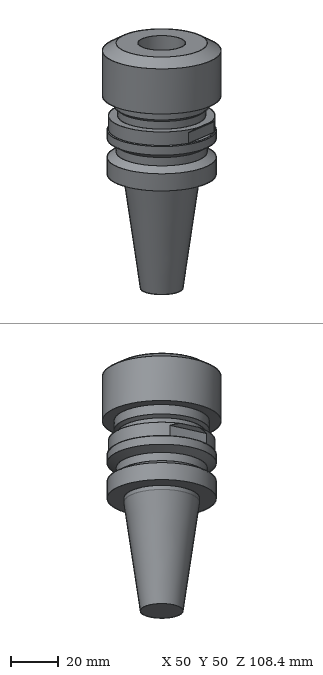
import cadquery as cq

total_height = 108.4
nut_chamfer_z = 105.0
nut_bottom_z = 85.1
neck_step_top_z = 80.9
neck_step_bottom_z = 79.7
collar_top_z = 76.3
flat_top_z = 75.0
collar_bottom_z = 70.4
flange_chamfer_z = 70.0
groove_upper_edge_z = 66.2
groove_floor_top_z = 64.0
groove_floor_bottom_z = 60.3
groove_lower_edge_z = 58.0
flange_bottom_z = 50.4
taper_top_z = 48.6

nut_radius = 50.0 / 2
nut_face_radius = 19.2
neck_radius = 20.0
undercut_radius = 18.5
collar_radius = 22.4
flange_radius = 23.0
groove_radius = 19.2
taper_top_radius = 15.9
taper_end_radius = 9.0
bore_radius = 10.0

bore_depth = 32.5
flat_distance = 20.5
flat_lip_distance = 22.0


def make_body():
    """Taper shank, grooved flange, collar, neck and nut as one revolved profile."""
    profile = [
        (0, 0),
        (taper_end_radius, 0),
        (taper_top_radius, taper_top_z),
        (taper_top_radius, flange_bottom_z),
        (flange_radius, flange_bottom_z),
        (flange_radius, groove_lower_edge_z),
        (groove_radius, groove_floor_bottom_z),
        (groove_radius, groove_floor_top_z),
        (flange_radius, groove_upper_edge_z),
        (flange_radius, flange_chamfer_z),
        (collar_radius, collar_bottom_z),
        (collar_radius, collar_top_z),
        (undercut_radius, collar_top_z),
        (undercut_radius, neck_step_bottom_z),
        (neck_radius, neck_step_top_z),
        (neck_radius, nut_bottom_z),
        (nut_radius, nut_bottom_z),
        (nut_radius, nut_chamfer_z),
        (nut_face_radius, total_height),
        (0, total_height),
    ]
    return cq.Workplane("XZ").polyline(profile).close().revolve(360, (0, 0), (0, 1))


def make_flat_cutter(side):
    """Material removed for the wrench flat on the +X (side=1) or -X (side=-1) side."""
    section = [
        (side * flat_distance, collar_bottom_z),
        (side * flat_distance, flat_top_z),
        (side * flat_lip_distance, collar_top_z),
        (side * nut_radius, collar_top_z),
        (side * nut_radius, collar_bottom_z),
    ]
    return cq.Workplane("XZ").polyline(section).close().extrude(nut_radius, both=True)


result = make_body()
for side in (-1, 1):
    result = result.cut(make_flat_cutter(side))

result = result.faces(">Z").workplane().circle(bore_radius).cutBlind(-bore_depth)